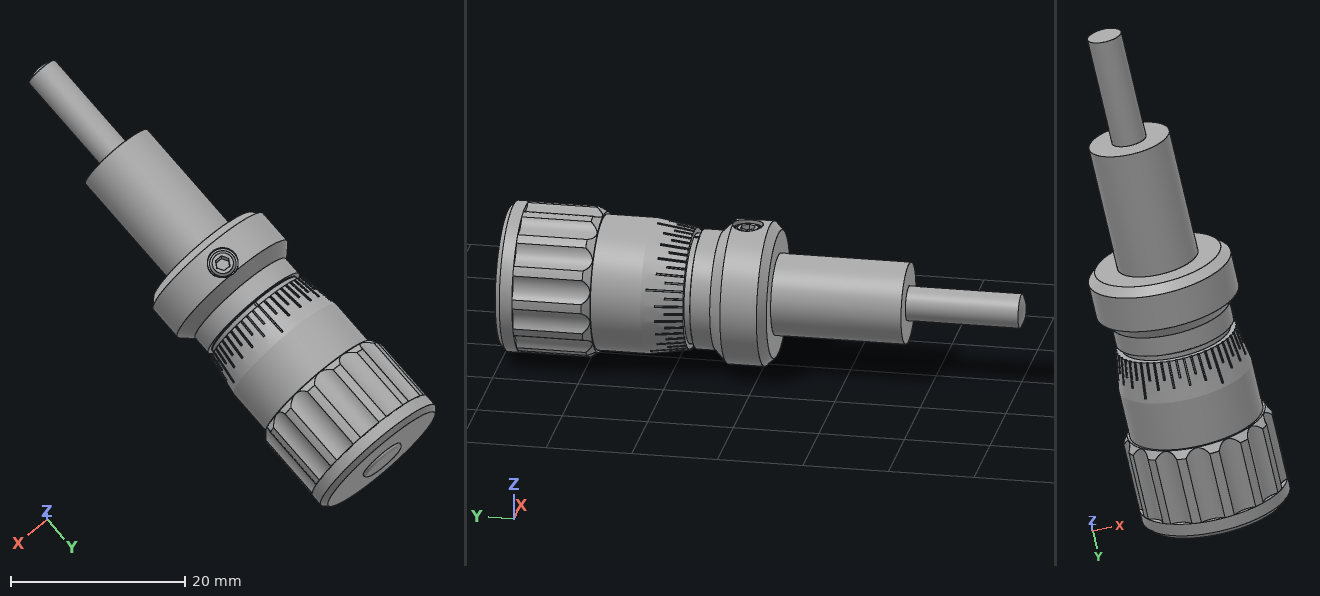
import cadquery as cq
import math


overall_length = 60.95
barrel_nose_y = 13.7
collar_front_y = 28.95
collar_back_y = 38.0
shoulder_back_y = 38.1
thimble_front_y = 38.8
thimble_cone_end_y = 43.6
knob_front_y = 49.45
cap_front_y = 58.45
cap_back_y = 60.55

spindle_radius = 2.0
spindle_dome_height = 0.55
barrel_radius = 4.75
sleeve_radius = 6.4
index_line_width = 0.25

collar_radius = 8.4
collar_neck_radius = 6.95
collar_front_chamfer = 1.0
collar_neck_length = 2.3
screw_y = 32.5
screw_radius = 1.5
screw_top_z = 8.05
screw_chamfer = 0.3
counterbore_radius = 1.75
counterbore_floor_z = 7.8
socket_across_flats = 1.5
socket_depth = 1.5

thimble_radius = 7.85
thimble_front_radius = 7.15
tick_count = 50
ticks_per_major = 10
major_tick_length = 4.25
medium_tick_length = 3.25
minor_tick_length = 2.15
tick_width = 0.2
tick_depth = 0.1

knob_diameter = 17.5
knob_radius = knob_diameter / 2
knob_front_chamfer_length = 0.9
knob_front_chamfer_depth = 0.6
flute_count = 14
flute_radius = 2.3
flute_depth = 0.58
cap_chamfer = 0.6
button_radius = 2.8
button_edge_radius = 0.35

cut_clearance = 0.6


def turned(outline):
    """Solid of revolution about Y from closed (radius, y) points."""
    return cq.Workplane("XY").polyline(outline).close().revolve(360, (0, 0, 0), (0, 1, 0))


def rod(radius, start_y, end_y):
    """Cylinder on the Y axis."""
    return cq.Workplane("XZ", origin=(0, start_y, 0)).circle(radius).extrude(start_y - end_y)


def make_spindle():
    """Round rod with a domed tip, ending against the knob."""
    dome_radius = (spindle_radius**2 + spindle_dome_height**2) / (2 * spindle_dome_height)
    half_dome_angle = math.asin(spindle_radius / dome_radius) / 2
    dome_middle = (
        dome_radius * math.sin(half_dome_angle),
        dome_radius * (1 - math.cos(half_dome_angle)),
    )
    return (
        cq.Workplane("XY")
        .moveTo(0, 0)
        .threePointArc(dome_middle, (spindle_radius, spindle_dome_height))
        .lineTo(spindle_radius, knob_front_y)
        .lineTo(0, knob_front_y)
        .close()
        .revolve(360, (0, 0, 0), (0, 1, 0))
    )


def make_barrel():
    """Clamping shank with a shoulder behind the collar, bored for the spindle."""
    return turned([
        (spindle_radius, barrel_nose_y),
        (barrel_radius, barrel_nose_y),
        (barrel_radius, collar_back_y),
        (sleeve_radius, collar_back_y),
        (sleeve_radius, shoulder_back_y),
        (spindle_radius, shoulder_back_y),
    ])


def make_sleeve():
    """Sleeve inside the thimble, with an index line engraved along its top."""
    sleeve = rod(sleeve_radius, shoulder_back_y, knob_front_y)
    sleeve = sleeve.cut(rod(spindle_radius, shoulder_back_y, knob_front_y))
    index_line = cq.Workplane("XY", origin=(0, shoulder_back_y, sleeve_radius - tick_depth)).box(
        index_line_width,
        thimble_front_y - shoulder_back_y,
        cut_clearance,
        centered=(True, False, False),
    )
    return sleeve.cut(index_line)


def make_collar():
    """Collar on the barrel, with a counterbored radial hole for the set screw."""
    neck_start_y = collar_back_y - collar_neck_length
    cone_start_y = neck_start_y - (collar_radius - collar_neck_radius)
    collar = turned([
        (barrel_radius, collar_front_y),
        (collar_radius - collar_front_chamfer, collar_front_y),
        (collar_radius, collar_front_y + collar_front_chamfer),
        (collar_radius, cone_start_y),
        (collar_neck_radius, neck_start_y),
        (collar_neck_radius, collar_back_y),
        (barrel_radius, collar_back_y),
    ])
    hole = cq.Workplane("XY", origin=(0, screw_y, 0)).circle(screw_radius).extrude(collar_radius)
    counterbore = (
        cq.Workplane("XY", origin=(0, screw_y, counterbore_floor_z))
        .circle(counterbore_radius)
        .extrude(collar_radius - counterbore_floor_z)
    )
    return collar.cut(hole).cut(counterbore)


def make_set_screw():
    """Radial set screw bearing on the barrel, with a hexagon socket."""
    screw = cq.Workplane("XY", origin=(0, screw_y, 0)).circle(screw_radius).extrude(screw_top_z)
    screw = screw.faces(">Z").chamfer(screw_chamfer)
    socket_across_corners = socket_across_flats / math.cos(math.radians(30))
    socket = (
        cq.Workplane("XY", origin=(0, screw_y, screw_top_z - socket_depth))
        .polygon(6, socket_across_corners)
        .extrude(socket_depth)
    )
    return screw.cut(socket).cut(rod(barrel_radius, collar_front_y, collar_back_y))


def tick_cutter(length):
    """Engraving tool for one tick at the top of the thimble cone, opening at its front edge."""
    cone_slope = (thimble_radius - thimble_front_radius) / (thimble_cone_end_y - thimble_front_y)
    front_floor_z = thimble_front_radius - tick_depth
    back_floor_z = front_floor_z + cone_slope * length
    return (
        cq.Workplane("YZ")
        .polyline([
            (thimble_front_y, front_floor_z),
            (thimble_front_y + length, back_floor_z),
            (thimble_front_y + length, back_floor_z + cut_clearance),
            (thimble_front_y, front_floor_z + cut_clearance),
        ])
        .close()
        .extrude(tick_width / 2, both=True)
    )


def tick_length(index):
    """Length of a tick: major every tenth, medium on the other even ones, minor on odd ones."""
    if index % ticks_per_major == 0:
        return major_tick_length
    if index % 2 == 0:
        return medium_tick_length
    return minor_tick_length


def make_thimble():
    """Thimble running on the sleeve, with a graduated cone at its front."""
    thimble = turned([
        (sleeve_radius, thimble_front_y),
        (thimble_front_radius, thimble_front_y),
        (thimble_radius, thimble_cone_end_y),
        (thimble_radius, knob_front_y),
        (sleeve_radius, knob_front_y),
    ])
    for index in range(tick_count):
        angle = index * 360 / tick_count
        tick = tick_cutter(tick_length(index)).rotate((0, 0, 0), (0, 1, 0), angle)
        thimble = thimble.cut(tick)
    return thimble


def make_knob():
    """Fluted grip; the flutes run out through the front chamfer."""
    knob = turned([
        (0, knob_front_y),
        (knob_radius - knob_front_chamfer_depth, knob_front_y),
        (knob_radius, knob_front_y + knob_front_chamfer_length),
        (knob_radius, cap_front_y),
        (0, cap_front_y),
    ])
    flute_centre = knob_radius - flute_depth + flute_radius
    flute = rod(flute_radius, knob_front_y, cap_front_y).translate((0, 0, flute_centre))
    for index in range(flute_count):
        angle = index * 360 / flute_count
        knob = knob.cut(flute.rotate((0, 0, 0), (0, 1, 0), angle))
    return knob


def make_end_cap():
    """Plain disc closing the back of the knob."""
    cap = rod(knob_radius, cap_front_y, cap_back_y)
    return cap.faces(">Y").chamfer(cap_chamfer)


def make_button():
    """Low button on the end cap, with a rounded edge."""
    button = rod(button_radius, cap_back_y, overall_length)
    return button.faces(">Y").edges().fillet(button_edge_radius)


spindle = make_spindle()
barrel = make_barrel()
sleeve = make_sleeve()
collar = make_collar()
set_screw = make_set_screw()
thimble = make_thimble()
knob = make_knob()
end_cap = make_end_cap()
button = make_button()

result = cq.Compound.makeCompound([
    spindle.val(),
    barrel.val(),
    sleeve.val(),
    collar.val(),
    set_screw.val(),
    thimble.val(),
    knob.val(),
    end_cap.val(),
    button.val(),
])